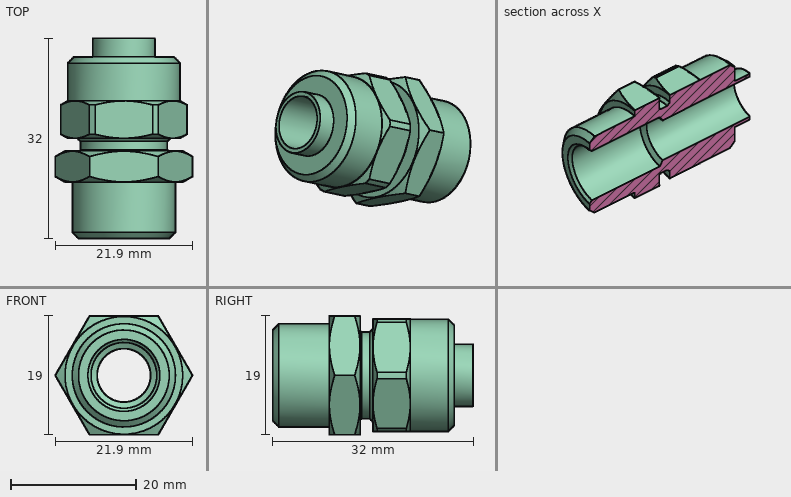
import cadquery as cq
import math


body_hex_start = 9.0
body_hex_end = 14.0
nut_start = 16.0
nut_hex_end = 22.0
nut_end = 29.0
total_length = 32.0

spigot_diameter = 16.5
spigot_chamfer = 1.0

body_across_flats = 19.0
body_face_diameter = 18.8
nut_across_flats = 18.0
nut_corner_diameter = 20.2
nut_face_diameter = 17.9
corner_chamfer_angle = 30.0

neck_diameter = 13.9
cone_length = 0.5
neck_foot_length = 0.2
neck_foot_width = 0.08

sleeve_diameter = 18.0
sleeve_chamfer = 1.0
tube_diameter = 10.0
tube_chamfer_length = 0.2
tube_chamfer_width = 0.06

through_diameter = 8.5
bore_diameter = 10.5
bore_depth = 14.0
bore_end_half_angle = 60.0
bore_chamfer = 0.5


def turned(profile):
    """Solid of revolution about Y from (radius, station) points; the profile is closed along the axis."""
    outline = [(0, profile[0][1])] + profile + [(0, profile[-1][1])]
    return cq.Workplane("XY").polyline(outline).close().revolve(360, (0, 0), (0, 1))


def across_corners(across_flats):
    """Corner-to-corner width of a regular hexagon."""
    return across_flats * 2 / math.sqrt(3)


def hexagon(across_flats, corner_diameter, face_diameter, start, end):
    """Hexagonal prism with corners on the X axis, coned down to face_diameter at both ends."""
    prism = (
        cq.Workplane("XZ", origin=(0, start, 0))
        .polygon(6, across_corners(across_flats))
        .extrude(-(end - start))
    )
    corner_radius = corner_diameter / 2
    face_radius = face_diameter / 2
    chamfer_length = (corner_radius - face_radius) * math.tan(math.radians(corner_chamfer_angle))
    envelope = turned([
        (face_radius, start),
        (corner_radius, start + chamfer_length),
        (corner_radius, end - chamfer_length),
        (face_radius, end),
    ])
    return prism.intersect(envelope)


def make_spigot():
    radius = spigot_diameter / 2
    return turned([
        (radius - spigot_chamfer, 0),
        (radius, spigot_chamfer),
        (radius, body_hex_start),
    ])


def make_neck():
    radius = neck_diameter / 2
    return turned([
        (radius + neck_foot_width, body_hex_end),
        (radius, body_hex_end + neck_foot_length),
        (radius, nut_start - cone_length),
        (radius + cone_length, nut_start),
    ])


def make_sleeve():
    radius = sleeve_diameter / 2
    return turned([
        (radius, nut_hex_end),
        (radius, nut_end - sleeve_chamfer),
        (radius - sleeve_chamfer, nut_end),
    ])


def make_tube():
    radius = tube_diameter / 2
    return turned([
        (radius, nut_end),
        (radius, total_length - tube_chamfer_length),
        (radius - tube_chamfer_width, total_length),
    ])


def make_passage():
    """Wide front bore with a chamfered mouth, ending in a blunt drill-point cone down to the through hole."""
    through_radius = through_diameter / 2
    bore_radius = bore_diameter / 2
    cone_depth = (bore_radius - through_radius) / math.tan(math.radians(bore_end_half_angle))
    return turned([
        (bore_radius + bore_chamfer, 0),
        (bore_radius, bore_chamfer),
        (bore_radius, bore_depth),
        (through_radius, bore_depth + cone_depth),
        (through_radius, total_length),
    ])


body_hex = hexagon(
    body_across_flats, across_corners(body_across_flats), body_face_diameter, body_hex_start, body_hex_end
)
nut_hex = hexagon(
    nut_across_flats, nut_corner_diameter, nut_face_diameter, nut_start, nut_hex_end
)

fitting = make_spigot()
for section in (body_hex, make_neck(), nut_hex, make_sleeve(), make_tube()):
    fitting = fitting.union(section)

result = fitting.cut(make_passage())